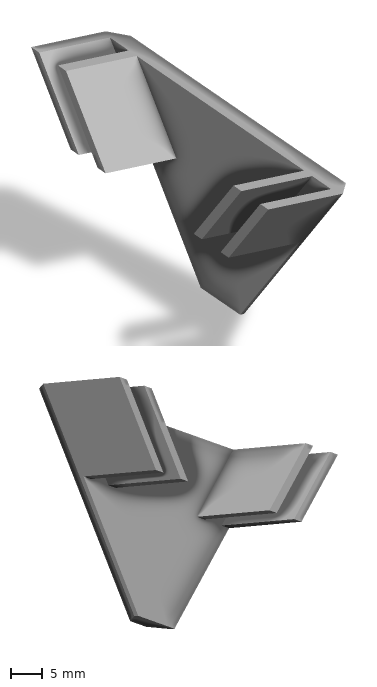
import cadquery as cq
import math

length = 76.2
height = 31.8
depth = 15.85
plate_thickness = 3.2
wall_height = 12.7
wall_thickness = 1.8
slot_width = 4.3
chamfer = 2.5

slope_stretch = math.sqrt(2)
half_length = length / 2
half_foot = half_length - height
wall_run = wall_thickness * slope_stretch
wall_pitch = (wall_thickness + slot_width) * slope_stretch
chamfer_run = chamfer * slope_stretch


def extrude_along_y(points, start, distance):
    """Extrude an XZ outline from Y = start by distance towards +Y."""
    return cq.Workplane("XZ", origin=(0, start, 0)).polyline(points).close().extrude(-distance)


def make_plate():
    outline = [
        (-half_length, height),
        (half_length, height),
        (half_foot, 0),
        (-half_foot, 0),
    ]
    return extrude_along_y(outline, -plate_thickness, plate_thickness)


def make_wall(inset):
    """Sloping wall on the -X side, set in from the outer top corner along X."""
    top = -half_length + inset
    bottom = top + wall_height
    outline = [
        (top, height),
        (top + wall_run, height),
        (bottom + wall_run, height - wall_height),
        (bottom, height - wall_height),
    ]
    return extrude_along_y(outline, -depth, depth - plate_thickness)


def make_chamfer_cutter():
    """Wedge along the -X sloping back edge, swept from the top to the foot of the plate."""
    section = [
        (-half_length, -chamfer),
        (-half_length, 0),
        (-half_length + chamfer_run, 0),
    ]
    sweep = cq.Solid.extrudeLinear(
        cq.Wire.makePolygon([cq.Vector(x, y, height) for x, y in section], close=True),
        [],
        cq.Vector(height, 0, -height),
    )
    return cq.Workplane(obj=sweep)


result = make_plate()

for inset in (0, wall_pitch):
    wall = make_wall(inset)
    result = result.union(wall).union(wall.mirror("YZ"))

chamfer_cutter = make_chamfer_cutter()
result = result.cut(chamfer_cutter).cut(chamfer_cutter.mirror("YZ"))